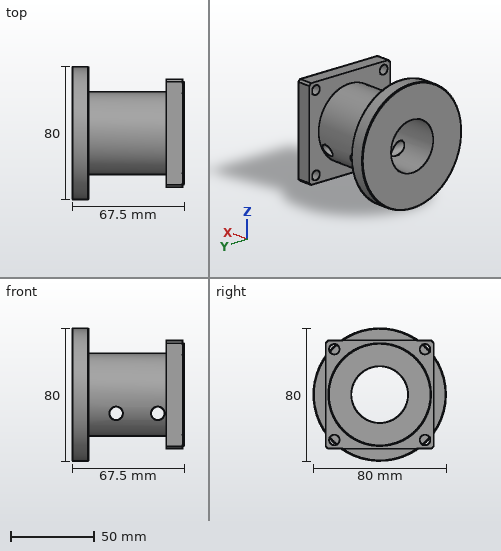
import cadquery as cq

total_length = 67.5
flange_thickness = 10.0
plate_thickness = 10.0
spigot_length = 1.0

flange_diameter = 80
body_diameter = 50.0
bore_diameter = 34.0
spigot_diameter = 62.0
rim_chamfer = 0.5

plate_width = 65.1
plate_corner_chamfer = 1.5
bolt_hole_diameter = 6.2
bolt_spacing = 54.5

cross_hole_count = 2
cross_hole_diameter = 8
cross_hole_z = -11.3
first_cross_hole_x = 26.5
cross_hole_pitch = 25.0

plate_end = total_length - spigot_length
plate_start = plate_end - plate_thickness


def disc(start, length, diameter):
    """Cylinder on the X axis, beginning at X = start."""
    return cq.Workplane("YZ", origin=(start, 0, 0)).circle(diameter / 2).extrude(length)


def mounting_plate():
    """Square plate with chamfered corners and four bolt holes."""
    plate = (
        cq.Workplane("YZ", origin=(plate_start, 0, 0))
        .rect(plate_width, plate_width)
        .extrude(plate_thickness)
        .edges("|X")
        .chamfer(plate_corner_chamfer)
    )
    bolt_holes = (
        cq.Workplane("YZ", origin=(plate_start, 0, 0))
        .rect(bolt_spacing, bolt_spacing, forConstruction=True)
        .vertices()
        .circle(bolt_hole_diameter / 2)
        .extrude(plate_thickness)
    )
    return plate.cut(bolt_holes)


def cross_holes():
    """Pair of holes passing through both walls of the body."""
    centers = [(first_cross_hole_x + i * cross_hole_pitch, cross_hole_z) for i in range(cross_hole_count)]
    return (
        cq.Workplane("XZ")
        .pushPoints(centers)
        .circle(cross_hole_diameter / 2)
        .extrude(body_diameter / 2, both=True)
    )


flange = disc(0, flange_thickness, flange_diameter).edges().chamfer(rim_chamfer)
body = disc(0, total_length, body_diameter)
spigot = disc(plate_start, total_length - plate_start, spigot_diameter).edges(">X").chamfer(rim_chamfer)
plate = mounting_plate()
bore = disc(0, total_length, bore_diameter)

result = flange.union(body).union(plate).union(spigot).cut(bore).cut(cross_holes())